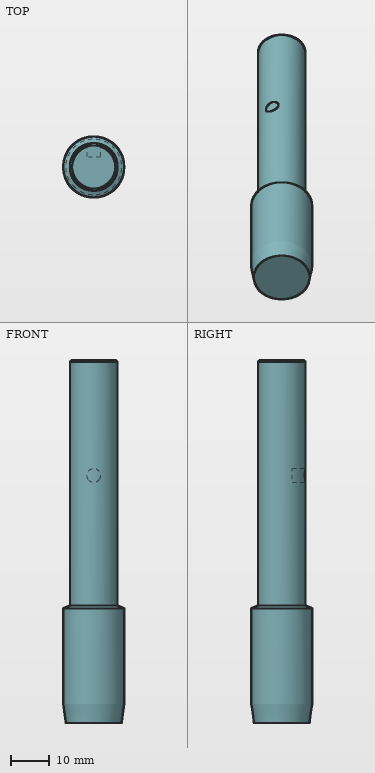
import cadquery as cq

total_length = 95.0
base_radius = 8.0
base_tip_radius = 7.3
lead_in_height = 5.0
shoulder_bottom_z = 30.0
shoulder_height = 0.75
shank_radius = 6.25
shank_chamfer = 0.6

plug_radius = 1.8
plug_z = 64.75
plug_depth = 2 * plug_radius


def make_stepped_pin():
    """Revolve half of the pin's lengthwise section about Z."""
    half_section = (
        cq.Workplane("XZ")
        .moveTo(0, 0)
        .lineTo(base_tip_radius, 0)
        .lineTo(base_radius, lead_in_height)
        .lineTo(base_radius, shoulder_bottom_z)
        .lineTo(shank_radius, shoulder_bottom_z + shoulder_height)
        .lineTo(shank_radius, total_length - shank_chamfer)
        .lineTo(shank_radius - shank_chamfer, total_length)
        .lineTo(0, total_length)
        .close()
    )
    return half_section.revolve(360, (0, 0, 0), (0, 1, 0))


def make_plug(pin):
    """Flat-bottomed round insert along Y, its outer end following the shank surface."""
    bottom_y = shank_radius - plug_depth
    blank = (
        cq.Workplane("XZ", origin=(0, bottom_y, plug_z))
        .circle(plug_radius)
        .extrude(-2 * plug_depth)
    )
    return blank.intersect(pin)


solid_pin = make_stepped_pin()
plug = make_plug(solid_pin)
stepped_pin = solid_pin.cut(plug)

result = cq.Compound.makeCompound([stepped_pin.solids().val(), plug.solids().val()])